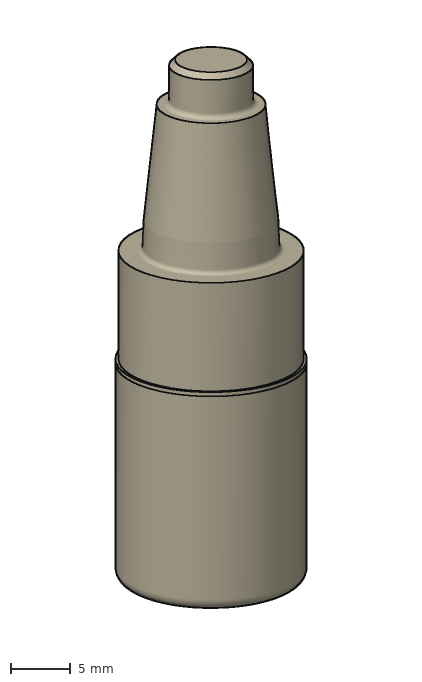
import cadquery as cq
import math

base_radius = 16.0 / 2
base_height = 19.15
base_bottom_fillet = 1.0

total_height = 46.2
flange_thickness = 0.35
flange_top = base_height + flange_thickness
shoulder_radius = 15.5 / 2
shoulder_top = 29.2
neck_bottom_radius = 5.75
neck_fillet = 0.4
taper_bottom = 31.95
taper_bottom_radius = 11.25 / 2
taper_top = 42.23
taper_top_radius = 9.1 / 2
tip_radius = 7.0 / 2
tip_fillet = 0.45
tip_chamfer = 0.5


def fillet_midpoint(radius, floor, size):
    """Middle of a concave quarter arc joining a vertical wall to a flat floor."""
    offset = size * (1 - math.sqrt(0.5))
    return (radius + offset, floor + offset)


def make_base():
    body = cq.Workplane("XY").circle(base_radius).extrude(base_height)
    return body.faces("<Z").edges().fillet(base_bottom_fillet)


def make_plug():
    """Revolve the half profile of the upper body, from its flange up to the tip."""
    profile = (
        cq.Workplane("XZ")
        .moveTo(0, base_height)
        .lineTo(base_radius, base_height)
        .lineTo(base_radius, flange_top)
        .lineTo(shoulder_radius, flange_top)
        .lineTo(shoulder_radius, shoulder_top)
        .lineTo(neck_bottom_radius + neck_fillet, shoulder_top)
        .threePointArc(
            fillet_midpoint(neck_bottom_radius, shoulder_top, neck_fillet),
            (neck_bottom_radius, shoulder_top + neck_fillet),
        )
        .lineTo(taper_bottom_radius, taper_bottom)
        .lineTo(taper_top_radius, taper_top)
        .lineTo(tip_radius + tip_fillet, taper_top)
        .threePointArc(
            fillet_midpoint(tip_radius, taper_top, tip_fillet),
            (tip_radius, taper_top + tip_fillet),
        )
        .lineTo(tip_radius, total_height - tip_chamfer)
        .lineTo(tip_radius - tip_chamfer, total_height)
        .lineTo(0, total_height)
        .close()
    )
    return profile.revolve(360, (0, 0), (0, 1))


base = make_base()
plug = make_plug()

result = cq.Compound.makeCompound([base.val(), plug.val()])